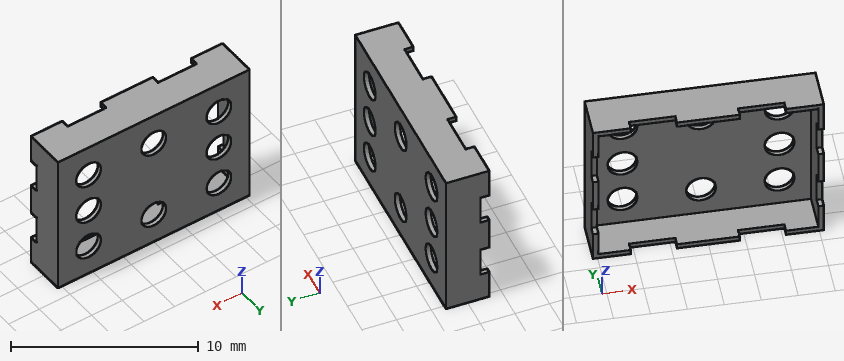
import cadquery as cq

length = 12.5
depth = 2.5
height = 9.2
wall = 0.3
floor_thickness = 0.3

hole_diameter = 1.6
hole_pitch_x = 4.25
hole_pitch_z = 2.6

notch_depth = 0.5
long_notch_width = 2.5
long_notch_offset = 2.95
short_notch_width = 1.8
short_notch_offset = 1.9

open_face_y = -depth / 2
floor_face_y = depth / 2 - floor_thickness


def make_shell():
    """Thin-walled tray with its floor on the +Y side."""
    outer = cq.Workplane("XY").box(length, depth, height)
    cavity_depth = depth - floor_thickness
    cavity = (
        cq.Workplane("XY")
        .box(length - 2 * wall, cavity_depth, height - 2 * wall)
        .translate((0, open_face_y + cavity_depth / 2, 0))
    )
    return outer.cut(cavity)


def make_floor_holes():
    """Ring of eight holes: a three by three grid without its centre."""
    centres = [
        (column * hole_pitch_x, row * hole_pitch_z)
        for column in (-1, 0, 1)
        for row in (-1, 0, 1)
        if (column, row) != (0, 0)
    ]
    return (
        cq.Workplane("XZ", origin=(0, floor_face_y, 0))
        .pushPoints(centres)
        .circle(hole_diameter / 2)
        .extrude(-floor_thickness)
    )


def cut_rim_notches(body):
    """Cut pairs of notches across opposite walls of the rim."""
    notch_y = open_face_y + notch_depth / 2
    for side in (-1, 1):
        long_wall_notch = cq.Workplane("XY").box(long_notch_width, notch_depth, height)
        body = body.cut(long_wall_notch.translate((side * long_notch_offset, notch_y, 0)))
        short_wall_notch = cq.Workplane("XY").box(length, notch_depth, short_notch_width)
        body = body.cut(short_wall_notch.translate((0, notch_y, side * short_notch_offset)))
    return body


result = cut_rim_notches(make_shell().cut(make_floor_holes()))